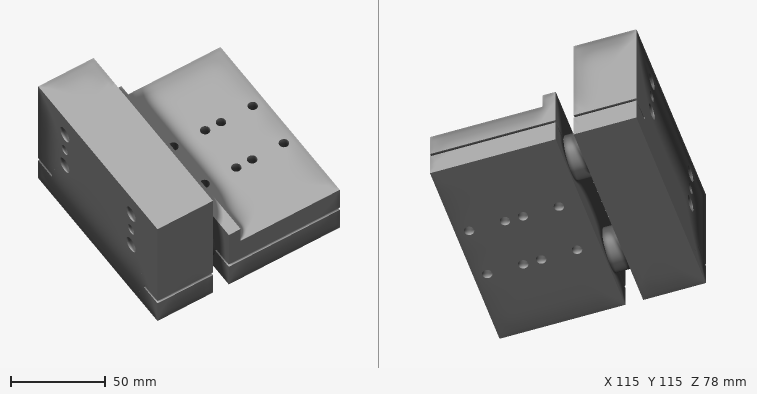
import cadquery as cq

width = 115.0
total_depth = 115.0
plate_depth = 35.0
plate_height = 78.0
gap = 10.0

rod_diameter = 25.0
rod_spacing = 64.0
rod_height = 16.0
slit_thickness = 2.0

carriage_front = plate_depth + gap
carriage_depth = total_depth - carriage_front
carriage_height = 32.0
lip_height = 42.0
lip_thickness = 7.5

large_hole_diameter = 9.0
small_hole_diameter = 6.0
lowest_hole_height = 38.0
plate_hole_pitch = 13.0

carriage_hole_diameter = 5.5
carriage_hole_spacing = 30.0
set_offset = 20.0
rear_hole_margin = 7.5

rod_positions = [-rod_spacing / 2, rod_spacing / 2]


def block(front, depth, height):
    """Full-width block standing on Z = 0, from Y = front towards +Y."""
    return cq.Workplane("XY").box(width, depth, height, centered=(True, False, False)).translate((0, front, 0))


def cylinder_along_y(x, z, diameter, front, length):
    """Cylinder starting at Y = front and running towards +Y."""
    base = cq.Workplane("XZ", origin=(x, front, z))
    return base.circle(diameter / 2).extrude(-length)


def cut_clamping_slits(body):
    """Slit from each rod axis out to the nearest side, along the whole depth."""
    slit_length = (width - rod_spacing) / 2
    for side in (-1, 1):
        slit = cq.Workplane("XY").box(slit_length, total_depth, slit_thickness)
        slit_center = side * (width - slit_length) / 2
        body = body.cut(slit.translate((slit_center, total_depth / 2, rod_height)))
    return body


def make_plate():
    """Upright plate with rod bores, clamping slits and two columns of holes."""
    plate = cut_clamping_slits(block(0, plate_depth, plate_height))
    column = [large_hole_diameter, small_hole_diameter, large_hole_diameter]
    for x in rod_positions:
        plate = plate.cut(cylinder_along_y(x, rod_height, rod_diameter, 0, plate_depth))
        for index, diameter in enumerate(column):
            z = lowest_hole_height + index * plate_hole_pitch
            plate = plate.cut(cylinder_along_y(x, z, diameter, 0, plate_depth))
    return plate


def cut_carriage_holes(body):
    """Eight vertical through holes."""
    rear_row = total_depth - rear_hole_margin
    for set_rear in (rear_row, rear_row - set_offset):
        set_center = set_rear - carriage_hole_spacing / 2
        holes = (
            cq.Workplane("XY", origin=(0, set_center, 0))
            .rect(carriage_hole_spacing, carriage_hole_spacing, forConstruction=True)
            .vertices()
            .circle(carriage_hole_diameter / 2)
            .extrude(carriage_height)
        )
        body = body.cut(holes)
    return body


def make_carriage():
    """Slit block with a raised front lip, carrying the two rods that reach through the plate."""
    base = block(carriage_front, carriage_depth, carriage_height)
    lip = block(carriage_front, lip_thickness, lip_height)
    carriage = cut_carriage_holes(cut_clamping_slits(base.union(lip)))
    for x in rod_positions:
        carriage = carriage.union(cylinder_along_y(x, rod_height, rod_diameter, 0, total_depth))
    return carriage


plate = make_plate()
carriage = make_carriage()

result = cq.Compound.makeCompound([plate.solids().val(), carriage.solids().val()])